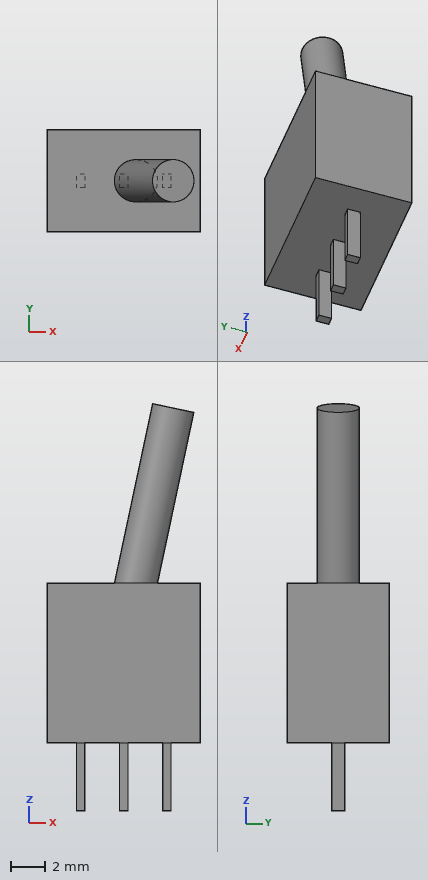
import cadquery as cq
import math

total_height = 23.95
housing_length = 9.0
housing_width = 6.0
housing_height = 9.4

pin_count = 3
pin_pitch = 2.55
pin_thickness = 0.5
pin_width = 0.8
pin_length = 4.0

lever_diameter = 2.5
lever_tilt = 12.0
lever_base_x = 0.72

lever_radius = lever_diameter / 2
tilt = math.radians(lever_tilt)
lever_rise = total_height - pin_length - housing_height
lever_axis_length = (lever_rise - lever_radius * math.sin(tilt)) / math.cos(tilt)
lever_buried_length = lever_diameter


def make_housing():
    """Plain block standing on Z = 0."""
    return cq.Workplane("XY").box(
        housing_length, housing_width, housing_height, centered=(True, True, False)
    )


def make_lever():
    """Tilted round bar with a square-cut tip and a base trimmed flat on the housing top."""
    axis = cq.Vector(math.sin(tilt), 0, math.cos(tilt))
    crossing = cq.Vector(lever_base_x, 0, housing_height)
    bar = cq.Solid.makeCylinder(
        lever_radius,
        lever_axis_length + lever_buried_length,
        crossing - axis * lever_buried_length,
        axis,
    )
    return cq.Workplane(bar).cut(make_housing())


def make_pin(x):
    """Rectangular terminal hanging from the housing underside."""
    return (
        cq.Workplane("XY")
        .center(x, 0)
        .rect(pin_thickness, pin_width)
        .extrude(-pin_length)
    )


housing = make_housing()
lever = make_lever()
pins = []
for index in range(pin_count):
    pin_x = (index - (pin_count - 1) / 2) * pin_pitch
    pins.append(make_pin(pin_x).val())

result = cq.Compound.makeCompound([housing.val(), lever.val(), *pins])